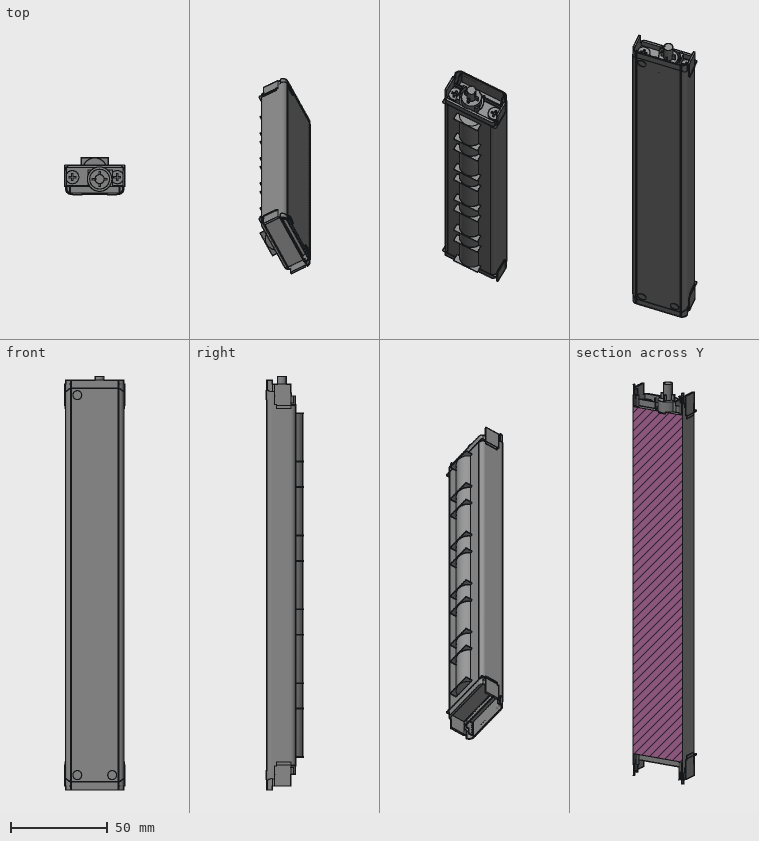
import cadquery as cq
import math


half_width = 15.1
front_y = -9.4
rail_back_y = -6.4
back_y = 5.6
back_radius = 2.4
rail_radius = 3.0
core_half_length = 97.6
front_half_length = 105.72

cover_step = 0.08
cover_half_length = 101.65
cover_side_half_length = 99.9
cover_back_y = -5.2

groove_x = 12.3
groove_width = 0.55
groove_depth = 0.5

disc_radius = 2.3
disc_face_y = -9.65
disc_x = 9.0
disc_z = 98.0

wing_half_length = 103.7
wing_thickness = 0.5
wing_back_y = 3.2
flap_thickness = 0.48
flap_bottom = 93.2
strap_thickness = 0.3
strap_bottom = 91.2
strap_front_y = -4.2

flange_z = flap_bottom
flange_thickness = 0.5
flange_back_y = 5.85
flange_corner = 0.3

window_half_width = 12.5
window_y = 5.85
window_half_length = 92.7
lens_radius = 6.35
lens_top_y = 9.4
lens_length = 25.4
lens_pitch = 1.5 * lens_length
lens_count = 5
rib_width = 14.0
rib_top_y = 9.65
rib_thickness = 0.4

floor_half_length = 94.0
front_wall = 0.7
pocket_front_y = -5.2
pocket_back_y = 4.4
divider_thickness = 0.5
panel_rib_x = 12.8
panel_rib_thickness = 0.6

screw_x = 11.6
screw_y = -0.5
screw_radius = 3.4
screw_height = 1.5
screw_slot_length = 3.6
screw_slot_width = 0.8
screw_slot_depth = 0.8
connector_x = 2.5
connector_y = -1.5
block_left_x = -3.4
block_right_x = 9.2
block_top = 99.5
bore_bottom = 93.0
bore_radius = 6.3
connector_radius = 5.1
connector_top = 99.0
plug_radius = 2.35
plug_top = 107.66
fin_reach = 3.9
fin_width = 0.8
fin_top = 102.0
key_width = 0.6
key_depth = 0.4


def box(x0, x1, y0, y1, z0, z1):
    """Box between two opposite corners."""
    return cq.Workplane("XY").box(x1 - x0, y1 - y0, z1 - z0, centered=False).translate((x0, y0, z0))


def cylinder(x, y, z0, z1, radius):
    """Upright cylinder."""
    return cq.Workplane("XY", origin=(x, y, z0)).circle(radius).extrude(z1 - z0)


def front_section(inset, rear_y, half_length):
    """Front part of the profile, with round rails along both front corners."""
    side_x = half_width - inset
    face_y = front_y + inset
    bar = box(-side_x, side_x, face_y, rear_y, -half_length, half_length)
    return bar.edges("|Z and <Y").fillet(rail_radius)


def make_core():
    """Full-width bar with rounded back corners."""
    core = box(-half_width, half_width, rail_back_y, back_y, -core_half_length, core_half_length)
    return core.edges("|Z and >Y").fillet(back_radius)


def make_cover():
    """Raised layer, its ends curving back from the front face to the sides."""
    cover = front_section(0, cover_back_y, cover_half_length)
    curve_depth = rail_back_y - front_y
    curve_height = cover_half_length - cover_side_half_length
    middle = math.sqrt(0.5)
    curve_middle = (
        front_y + curve_depth * (1 - middle),
        cover_side_half_length + curve_height * (1 - middle),
    )
    corner = (
        cq.Workplane("YZ", origin=(-half_width, 0, 0))
        .moveTo(front_y, cover_half_length)
        .threePointArc(curve_middle, (rail_back_y, cover_side_half_length))
        .lineTo(cover_back_y, cover_side_half_length)
        .lineTo(cover_back_y, cover_half_length)
        .close()
        .extrude(2 * half_width)
    )
    return cover.cut(corner).cut(corner.mirror("XY"))


def make_groove(side):
    """Groove beside one rail, along the whole front."""
    middle_x = side * groove_x
    return box(
        middle_x - groove_width / 2,
        middle_x + groove_width / 2,
        front_y,
        front_y + groove_depth,
        -front_half_length,
        front_half_length,
    )


def make_disc(x, z):
    """Low round disc on the front panel."""
    disc_depth = 2 * (front_y - disc_face_y)
    disc = cq.Workplane("XZ", origin=(x, disc_face_y, z)).circle(disc_radius)
    return disc.extrude(-disc_depth)


def make_wing():
    """Left wing of the top end, with its flap and the strap below the flap."""
    inner_x = -half_width + wing_thickness
    outer_x = -half_width - flap_thickness
    wing = box(-half_width, inner_x, rail_back_y, wing_back_y, flange_z, wing_half_length)
    flap = box(outer_x, inner_x, cover_back_y, wing_back_y, flap_bottom, wing_half_length)
    strap = box(-half_width - strap_thickness, inner_x, strap_front_y, wing_back_y, strap_bottom, flap_bottom)
    return wing.union(flap).union(strap)


def make_flange():
    """Thin plate around the back of the top end."""
    side_x = half_width + flap_thickness
    bottom = flange_z - flange_thickness
    plate = box(-side_x, side_x, strap_front_y, flange_back_y, bottom, flange_z)
    return plate.edges("|Z and >Y").chamfer(flange_corner)


def make_lens_row():
    """Row of rounded lenses on the window, a thin rib at each end of every lens."""
    row_length = (lens_count - 1) * lens_pitch + lens_length
    row_end = row_length / 2
    row = cylinder(0, lens_top_y - lens_radius, -row_end, row_end, lens_radius)
    row = row.intersect(box(-lens_radius, lens_radius, back_y - back_radius, lens_top_y, -row_end, row_end))
    half_rib = rib_width / 2
    for index in range(lens_count):
        lens_start = -row_end + index * lens_pitch
        for rib_start in (lens_start, lens_start + lens_length - rib_thickness):
            rib = box(-half_rib, half_rib, back_y, rib_top_y, rib_start, rib_start + rib_thickness)
            row = row.union(rib)
    return row


def make_end_hollow():
    """Space inside the top end: a pocket between the wings and a slot behind the front wall."""
    inner_x = half_width - wing_thickness
    pocket_start = pocket_front_y + divider_thickness
    pocket = box(-inner_x, inner_x, pocket_start, pocket_back_y, floor_half_length, wing_half_length)
    slot_x = half_width - front_wall
    slot = box(-slot_x, slot_x, front_y + front_wall, pocket_front_y, floor_half_length, front_half_length)
    slot = slot.edges("|Z and <Y").fillet(rail_radius - front_wall)
    for side in (-1, 1):
        middle_x = side * panel_rib_x
        left = middle_x - panel_rib_thickness / 2
        right = left + panel_rib_thickness
        rib = box(left, right, front_y, pocket_front_y, floor_half_length, wing_half_length)
        slot = slot.cut(rib)
    return pocket.union(slot)


def make_screw(x):
    """Screw head with a cross recess, on the floor of the top end."""
    top = floor_half_length + screw_height
    head = cylinder(x, screw_y, floor_half_length, top, screw_radius)
    for length_x, length_y in (
        (screw_slot_length, screw_slot_width),
        (screw_slot_width, screw_slot_length),
    ):
        slot = cq.Workplane("XY", origin=(x, screw_y, top)).rect(length_x, length_y)
        head = head.cut(slot.extrude(-screw_slot_depth))
    return head


def make_housing():
    body = make_core().union(front_section(cover_step, cover_back_y, front_half_length))
    for low, high in ((core_half_length, front_half_length), (-front_half_length, -core_half_length)):
        body = body.cut(box(-half_width, half_width, rail_back_y, cover_back_y, low, high))
    body = body.union(make_cover())
    for side in (-1, 1):
        body = body.cut(make_groove(side))
    for x, z in ((-disc_x, disc_z), (-disc_x, -disc_z), (disc_x, -disc_z)):
        body = body.union(make_disc(x, z))

    wing = make_wing()
    flange = make_flange()
    for end_part in (wing, wing.mirror("YZ"), flange):
        body = body.union(end_part).union(end_part.mirror("XY"))

    hollow = make_end_hollow()
    body = body.cut(hollow).cut(hollow.mirror("XY"))

    window_x = window_half_width
    window = box(-window_x, window_x, back_y, window_y, -window_half_length, window_half_length)
    body = body.union(window).union(make_lens_row())

    for side in (-1, 1):
        body = body.union(make_screw(side * screw_x))
    block = box(block_left_x, block_right_x, pocket_front_y, wing_back_y, floor_half_length, block_top)
    bore = cylinder(connector_x, connector_y, bore_bottom, front_half_length, bore_radius)
    return body.union(block).cut(bore)


def make_connector():
    """Round base with a central keyed plug and four fins, standing on the floor of the bore."""
    base = cylinder(connector_x, connector_y, bore_bottom, connector_top, connector_radius)
    plug = cylinder(connector_x, connector_y, bore_bottom, plug_top, plug_radius)
    body = base.union(plug)
    fin_height = fin_top - bore_bottom
    for length_x, length_y in ((2 * fin_reach, fin_width), (fin_width, 2 * fin_reach)):
        fins = cq.Workplane("XY", origin=(connector_x, connector_y, bore_bottom))
        body = body.union(fins.rect(length_x, length_y).extrude(fin_height))
    key_start = connector_x - plug_radius
    key_low = connector_y - key_width / 2
    key_high = connector_y + key_width / 2
    return body.cut(box(key_start, key_start + key_depth, key_low, key_high, fin_top, plug_top))


housing = make_housing()
connector = make_connector()
result = cq.Compound.makeCompound([housing.val(), connector.val()])